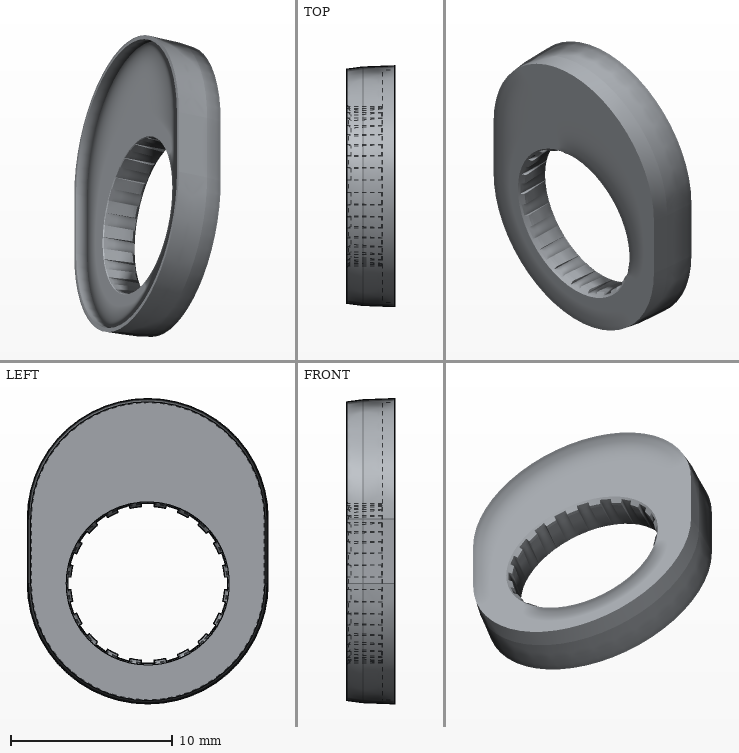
import cadquery as cq
import math

thickness = 3.0
width = 14.95
height = 18.95
straight_length = height - width
front_face_width = 14.53
belt_width = 14.8
belt_depth = 1.0

recess_width = 14.44
recess_depth = 0.75
web_thickness = thickness - recess_depth

hole_center_z = -straight_length / 2
lead_in_radius = 5.06
crest_radius = 4.78
crest_length = 0.19
tooth_end_radius = 4.93
back_chamfer = 0.05

tooth_count = 20
groove_floor_radius = 4.95
groove_width = 2 * groove_floor_radius * math.sin(math.pi / tooth_count / 2)


def oval_slice(start_depth, start_width, end_depth, end_width):
    """Slice of the plate between two oval outlines that share the same straight length."""
    slice_depth = end_depth - start_depth
    return (
        cq.Workplane("YZ", origin=(start_depth, 0, 0))
        .slot2D(straight_length + start_width, start_width, 90)
        .workplane(offset=slice_depth)
        .slot2D(straight_length + end_width, end_width, 90)
        .loft(ruled=True)
    )


def plate():
    front_slice = oval_slice(0, front_face_width, belt_depth, belt_width)
    back_slice = oval_slice(belt_depth, belt_width, thickness, width)
    return front_slice.union(back_slice)


def back_recess():
    return (
        cq.Workplane("YZ", origin=(web_thickness, 0, 0))
        .slot2D(straight_length + recess_width, recess_width, 90)
        .extrude(recess_depth)
    )


def tooth_bore():
    """Hole along the tooth tips: a 45 degree lead-in, a short level crest, a slope and a back chamfer."""
    crest_start = lead_in_radius - crest_radius
    crest_end = crest_start + crest_length
    profile = [
        (0, 0),
        (0, lead_in_radius),
        (crest_start, crest_radius),
        (crest_end, crest_radius),
        (web_thickness - back_chamfer, tooth_end_radius),
        (web_thickness, tooth_end_radius + back_chamfer),
        (web_thickness, 0),
    ]
    return (
        cq.Workplane("XY", origin=(0, 0, hole_center_z))
        .polyline(profile)
        .close()
        .revolve(360, (0, 0, 0), (1, 0, 0))
    )


def tooth_groove(angle):
    """Box cutter from the hole axis out to a groove floor, turned about the hole axis."""
    cutter = cq.Workplane("XY").box(
        web_thickness, groove_floor_radius, groove_width, centered=(False, False, True)
    )
    return cutter.rotate((0, 0, 0), (1, 0, 0), angle).translate((0, 0, hole_center_z))


result = plate().cut(back_recess()).cut(tooth_bore())
for index in range(tooth_count):
    result = result.cut(tooth_groove(index * 360 / tooth_count))